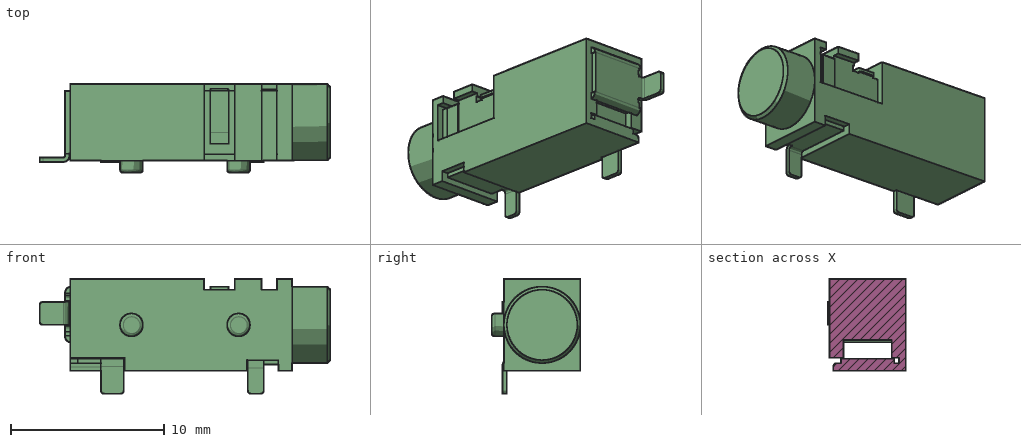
import cadquery as cq
import math

body_length = 14.5
body_width = 5.0
body_height = 6.0
half_width = body_width / 2
half_height = body_height / 2

barrel_radius = 2.5
barrel_end = 17.0
barrel_chamfer = 0.2

peg_positions = (4.0, 11.0)
peg_radius = 0.75
peg_height = 0.8
peg_fillet = 0.2

contact_groove = (8.75, 10.75)
front_groove = (12.5, 13.5)
groove_depth = 0.7
groove_floor = half_height - groove_depth
groove_pocket_depth = 0.4
groove_pocket_floor = groove_floor - groove_pocket_depth
groove_ledge_y = -2.1
groove_pocket_undercut = 0.1

side_pocket_wall = 2.05
side_pocket_top = 2.5
side_pocket_floor = 0.0
side_pocket_end = 14.0
side_strip_thickness = 0.1
side_strip_drop = 0.05
side_strip_top = groove_floor - side_strip_drop

top_contact_x = (9.15, 10.35)
top_contact_end = 2.2
top_contact_bend = -0.65
top_contact_tip = -1.4
top_contact_drop = 0.02
top_contact_flat = groove_floor - top_contact_drop
top_contact_peak = 2.5
top_contact_bevel = 0.1
top_contact_corner = 0.12

arc_middle = math.sqrt(0.5)
sheet = 0.3
leg_inner_bend = 0.2
leg_outer_bend = leg_inner_bend + sheet
tail_inner_bend = 0.1
tail_outer_bend = tail_inner_bend + sheet
contact_standout = 0.1
contact_face = -(half_width + contact_standout)
leg_bottom = -4.5
leg_corner = 0.2
contact_half_width = 2.0

slot_length = 3.55
slot_top = -2.15
slot_floor = -2.5
slot_inner_y = 2.05
slot_outer_y = -2.25
slot_floor_round = 0.25
rear_contact_top = -2.2
rear_contact_neck = 0.5
rear_contact_neck_half_width = 1.75
rear_leg_x = (2.0, 3.5)

notch_x = (11.55, 13.6)
notch_top = -2.3
front_leg_x = (11.6, 12.65)

recess_half_width = 1.57
recess_depth = 0.5
recess_top = -1.0
plate_out = 0.35
plate_half_width = 2.05
plate_flat_half_width = 1.98
plate_z = (-1.15, 2.5)
plate_roll_height = 0.43
tail_z = (0.0, 1.5)
tail_end = -2.0
tail_root = -1.9
tail_corner = 0.2
relief_radius = 0.2
relief_offset = 0.25


def box(x_range, y_range, z_range):
    """Axis-aligned block from three (low, high) ranges."""
    size = [high - low for low, high in (x_range, y_range, z_range)]
    origin = (x_range[0], y_range[0], z_range[0])
    return cq.Workplane("XY").box(*size, centered=False).translate(origin)


def along_x(sketch_plane_x):
    """Sketch plane at the given X whose local axes are Y and Z."""
    return cq.Workplane("YZ", origin=(sketch_plane_x, 0, 0))


def make_housing():
    body = box((0, body_length), (-half_width, half_width), (-half_height, half_height))
    barrel = along_x(body_length).circle(barrel_radius).extrude(barrel_end - body_length)
    return body.union(barrel.faces(">X").chamfer(barrel_chamfer))


def make_pegs():
    face = cq.Workplane("XZ", origin=(0, -half_width, 0))
    centres = [(x, 0) for x in peg_positions]
    pegs = face.pushPoints(centres).circle(peg_radius).extrude(peg_height)
    return pegs.faces("<Y").edges().fillet(peg_fillet)


def cut_top(body):
    """Both grooves, the pocket in the first one, the undercut of the second and the side pocket."""
    full_y = (-half_width, half_width)
    for groove in (contact_groove, front_groove):
        body = body.cut(box(groove, full_y, (groove_floor, half_height)))
    pocket_x = (contact_groove[0], contact_groove[1] + groove_pocket_undercut)
    body = body.cut(box(pocket_x, (groove_ledge_y, half_width), (groove_pocket_floor, groove_floor)))
    undercut_x = (front_groove[1], side_pocket_end)
    body = body.cut(box(undercut_x, (groove_ledge_y, half_width), (groove_floor, side_pocket_top)))
    side_x = (contact_groove[0], side_pocket_end)
    return body.cut(box(side_x, (side_pocket_wall, half_width), (side_pocket_floor, side_pocket_top)))


def cut_front_notch(body):
    """Notch across the underside of the housing behind the front flange."""
    return body.cut(box(notch_x, (-half_width, half_width), (-half_height, notch_top)))


def make_side_strip():
    """Thin strip on the wall of the side pocket, below the front groove."""
    y_range = (side_pocket_wall, side_pocket_wall + side_strip_thickness)
    return box(front_groove, y_range, (side_pocket_floor, side_strip_top))


def make_top_contact():
    """Spring blade: a bevelled end over the side pocket, a flat, and a rising tip."""
    width = top_contact_x[1] - top_contact_x[0]
    blade = (
        along_x(top_contact_x[0])
        .moveTo(top_contact_tip, groove_pocket_floor)
        .lineTo(side_pocket_wall, groove_pocket_floor)
        .lineTo(side_pocket_wall, top_contact_flat - sheet)
        .lineTo(top_contact_end, top_contact_flat - sheet)
        .lineTo(top_contact_end, top_contact_flat - top_contact_bevel)
        .lineTo(side_pocket_wall, top_contact_flat)
        .lineTo(top_contact_bend, top_contact_flat)
        .lineTo(top_contact_tip, top_contact_peak)
        .close()
        .extrude(width)
    )
    return blade.faces(">Y").edges("|Z").fillet(top_contact_corner)


def cut_rear_slot(body):
    """Open slot along the lower -Y edge with a rounded lip on its floor."""
    slot = (
        along_x(0)
        .moveTo(slot_inner_y, slot_top)
        .lineTo(-half_width, slot_top)
        .lineTo(-half_width, -half_height)
        .lineTo(slot_outer_y, -half_height)
        .lineTo(slot_outer_y, slot_floor - slot_floor_round)
        .radiusArc((slot_outer_y + slot_floor_round, slot_floor), slot_floor_round)
        .lineTo(slot_inner_y, slot_floor)
        .close()
        .extrude(slot_length)
    )
    return body.cut(slot)


def cut_rear_recess(body):
    """Shallow window below the rear plate, down to the rear contact."""
    recess_y = (-recess_half_width, recess_half_width)
    return body.cut(box((0, recess_depth), recess_y, (slot_top, recess_top)))


def make_leg(x_range, contact_top):
    """Bent leg leaving the housing towards -Y and turning down."""
    bend_y = contact_face + leg_outer_bend
    bend_z = contact_top - leg_outer_bend
    outer_mid = (bend_y - leg_outer_bend * arc_middle, bend_z + leg_outer_bend * arc_middle)
    inner_mid = (bend_y - leg_inner_bend * arc_middle, bend_z + leg_inner_bend * arc_middle)
    leg = (
        along_x(x_range[0])
        .moveTo(-contact_half_width, contact_top)
        .lineTo(bend_y, contact_top)
        .threePointArc(outer_mid, (contact_face, bend_z))
        .lineTo(contact_face, leg_bottom)
        .lineTo(contact_face + sheet, leg_bottom)
        .lineTo(contact_face + sheet, bend_z)
        .threePointArc(inner_mid, (bend_y, bend_z + leg_inner_bend))
        .lineTo(-contact_half_width, contact_top - sheet)
        .close()
        .extrude(x_range[1] - x_range[0])
    )
    return leg.faces("<Z").edges("|Y").fillet(leg_corner)


def make_rear_contact():
    """Plate filling the rear slot, with a narrow neck at the rear face and one leg."""
    plate_z_range = (rear_contact_top - sheet, rear_contact_top)
    neck_y = (-rear_contact_neck_half_width, rear_contact_neck_half_width)
    neck = box((0, rear_contact_neck), neck_y, plate_z_range)
    plate = box((rear_contact_neck, rear_leg_x[1]), (-contact_half_width, slot_inner_y), plate_z_range)
    return neck.union(plate).union(make_leg(rear_leg_x, rear_contact_top))


def make_front_contact():
    """Plate under the roof of the front notch with one leg."""
    plate_x = (front_leg_x[0], notch_x[1])
    plate_y = (-contact_half_width, contact_half_width)
    plate = box(plate_x, plate_y, (notch_top - sheet, notch_top))
    return plate.union(make_leg(front_leg_x, notch_top))


def make_rear_plate():
    """Plate on the rear face with rolled top and bottom edges and two relief notches."""
    bottom, top = plate_z
    flat_z = (bottom + plate_roll_height, top - plate_roll_height)
    plate = (
        cq.Workplane("XZ", origin=(0, plate_half_width, 0))
        .moveTo(0, bottom)
        .radiusArc((-plate_out, flat_z[0]), plate_roll_height)
        .lineTo(-plate_out, flat_z[1])
        .radiusArc((0, top), plate_roll_height)
        .close()
        .extrude(2 * plate_half_width)
    )
    plate = plate.cut(box((-plate_out, 0), (plate_flat_half_width, plate_half_width), flat_z))
    plate = plate.cut(box((-plate_out, 0), (-plate_half_width, -plate_flat_half_width), flat_z))
    relief_y = -plate_half_width
    centres = [(relief_y, tail_z[0] - relief_offset), (relief_y, tail_z[1] + relief_offset)]
    reliefs = along_x(-plate_out).pushPoints(centres).circle(relief_radius).extrude(plate_out)
    return plate.cut(reliefs)


def make_tail():
    """Solder tail bent from the -Y edge of the rear plate towards -X."""
    bend_x = -plate_out + sheet - tail_outer_bend
    bend_y = contact_face + tail_outer_bend
    outer_mid = (bend_x + tail_outer_bend * arc_middle, bend_y - tail_outer_bend * arc_middle)
    inner_mid = (bend_x + tail_inner_bend * arc_middle, bend_y - tail_inner_bend * arc_middle)
    tail = (
        cq.Workplane("XY", origin=(0, 0, tail_z[0]))
        .moveTo(bend_x + tail_outer_bend, tail_root)
        .lineTo(bend_x + tail_outer_bend, bend_y)
        .threePointArc(outer_mid, (bend_x, contact_face))
        .lineTo(tail_end, contact_face)
        .lineTo(tail_end, contact_face + sheet)
        .lineTo(bend_x, contact_face + sheet)
        .threePointArc(inner_mid, (bend_x + tail_inner_bend, bend_y))
        .lineTo(bend_x + tail_inner_bend, tail_root)
        .close()
        .extrude(tail_z[1] - tail_z[0])
    )
    return tail.faces("<X").edges("|Y").fillet(tail_corner)


result = make_housing()
for cut in (cut_top, cut_rear_slot, cut_rear_recess, cut_front_notch):
    result = cut(result)
for piece in (
    make_pegs(),
    make_side_strip(),
    make_top_contact(),
    make_rear_contact(),
    make_front_contact(),
    make_rear_plate(),
    make_tail(),
):
    result = result.union(piece)